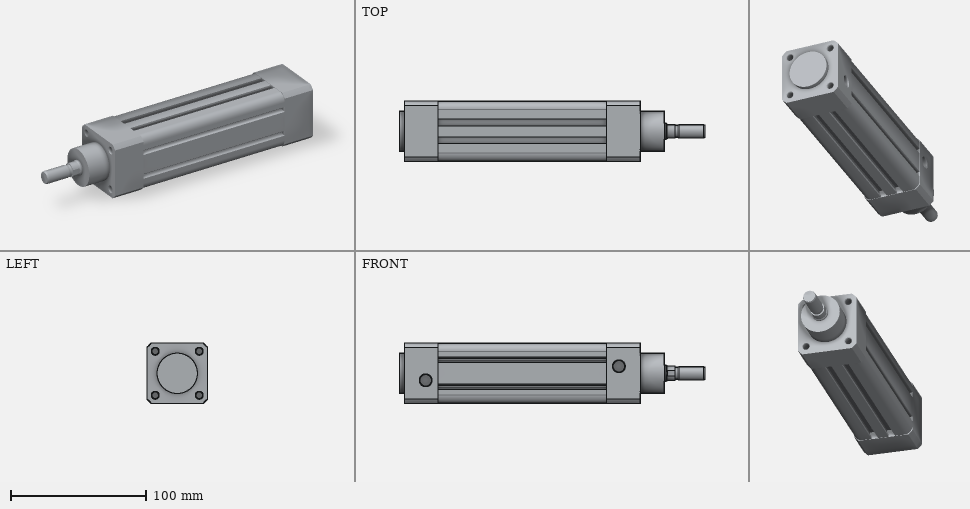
import cadquery as cq

total_length = 226.0
cover_side = 45.0
cover_length = 25.0
cover_corner_diameter = 59.0
collar_diameter = 29.8
rear_collar_length = 3.6
front_collar_length = 17.9
tube_length = 124.3

rear_cover_start = rear_collar_length
tube_start = rear_cover_start + cover_length
head_start = tube_start + tube_length
head_end = head_start + cover_length
rod_start = head_end + front_collar_length

screw_pitch = 32.5
screw_hole_diameter = 5.0
screw_hole_chamfer = 0.5
screw_hole_depth = 11.3
port_diameter = 8.5
port_chamfer = 0.5
port_depth = 11.3
port_height_offset = 5.2
port_setback = 9.3

tube_side = 44.5
tube_corner_radius = 6.0
t_slot_center = 6.5
t_slot_opening = 5.0
t_slot_lip = 1.5
t_slot_undercut = 1.1
t_slot_depth = 5.5
v_groove_center = 10.0
v_groove_opening = 4.0
v_groove_floor = 2.0
v_groove_depth = 4.3

rod_diameter = 12.0
rod_plain_length = 1.1
wrench_diameter = 10.8
wrench_cone_length = 1.0
wrench_end = 203.9
across_flats = 10.0
flat_start = 198.2
neck_diameter = 9.0
neck_end = 205.5
thread_diameter = 10.0
thread_start = 206.8
thread_chamfer_length = 1.4


def make_cover_block(start_x):
    """Square cover with turned corners, from start_x toward +X."""
    section = cq.Workplane("YZ", origin=(start_x, 0, 0))
    block = section.rect(cover_side, cover_side).extrude(cover_length)
    return block.intersect(section.circle(cover_corner_diameter / 2).extrude(cover_length))


def make_collar(start_x, length):
    return cq.Workplane("YZ", origin=(start_x, 0, 0)).circle(collar_diameter / 2).extrude(length)


def make_hole_cutter(mouth, direction, diameter, depth, chamfer):
    """Blind hole with a 45 degree chamfered mouth, running from mouth along direction."""
    radius = diameter / 2
    hole = cq.Solid.makeCylinder(radius, depth, mouth, direction)
    return hole.fuse(cq.Solid.makeCone(radius + chamfer, radius, chamfer, mouth, direction))


def cut_screw_holes(cover, face_x, inward):
    """Cut the four screw holes in the outer face at face_x; inward is +1 or -1 along X."""
    direction = cq.Vector(inward, 0, 0)
    for side_y in (-1, 1):
        for side_z in (-1, 1):
            mouth = cq.Vector(face_x, side_y * screw_pitch / 2, side_z * screw_pitch / 2)
            hole = make_hole_cutter(mouth, direction, screw_hole_diameter, screw_hole_depth, screw_hole_chamfer)
            cover = cover.cut(cq.Workplane(hole))
    return cover


def cut_port(cover, x, z):
    """Cut the air port in the -Y side of a cover."""
    mouth = cq.Vector(x, -cover_side / 2, z)
    direction = cq.Vector(0, 1, 0)
    hole = make_hole_cutter(mouth, direction, port_diameter, port_depth, port_chamfer)
    return cover.cut(cq.Workplane(hole))


def make_rear_cover():
    cover = make_cover_block(rear_cover_start).union(make_collar(0, rear_collar_length))
    cover = cut_screw_holes(cover, rear_cover_start, 1)
    return cut_port(cover, tube_start - port_setback, -port_height_offset)


def make_head():
    head = make_cover_block(head_start).union(make_collar(head_end, front_collar_length))
    head = cut_screw_holes(head, head_end, -1)
    return cut_port(head, head_start + port_setback, port_height_offset)


def make_t_slot(center_y):
    """T-slot cutter, open on the +Z side of the tube."""
    top = tube_side / 2
    half_opening = t_slot_opening / 2
    half_undercut = half_opening + t_slot_undercut
    outline = [
        (center_y - half_opening, top),
        (center_y - half_opening, top - t_slot_lip),
        (center_y - half_undercut, top - t_slot_lip),
        (center_y - half_undercut, top - t_slot_depth),
        (center_y + half_undercut, top - t_slot_depth),
        (center_y + half_undercut, top - t_slot_lip),
        (center_y + half_opening, top - t_slot_lip),
        (center_y + half_opening, top),
    ]
    return cq.Workplane("YZ", origin=(tube_start, 0, 0)).polyline(outline).close().extrude(tube_length)


def make_v_groove(center_z):
    """Tapered groove cutter, open on the -Y side of the tube."""
    side = -tube_side / 2
    outline = [
        (side, center_z - v_groove_opening / 2),
        (side, center_z + v_groove_opening / 2),
        (side + v_groove_depth, center_z + v_groove_floor / 2),
        (side + v_groove_depth, center_z - v_groove_floor / 2),
    ]
    return cq.Workplane("YZ", origin=(tube_start, 0, 0)).polyline(outline).close().extrude(tube_length)


def make_tube():
    """Extruded tube; opposite sides carry the same grooves."""
    tube = cq.Workplane("YZ", origin=(tube_start, 0, 0)).rect(tube_side, tube_side).extrude(tube_length)
    tube = tube.edges("|X").fillet(tube_corner_radius)
    for mirror_side in (-1, 1):
        t_slot = make_t_slot(mirror_side * t_slot_center)
        v_groove = make_v_groove(mirror_side * v_groove_center)
        tube = tube.cut(t_slot).cut(t_slot.mirror("XY"))
        tube = tube.cut(v_groove).cut(v_groove.mirror("XZ"))
    return tube


def make_flat_cutter():
    """Material removed for the -Y wrench flat, with a 45 degree ramp at its start."""
    flat_y = -across_flats / 2
    clear_y = -rod_diameter
    ramp = flat_y - clear_y
    outline = [
        (flat_start, flat_y),
        (wrench_end, flat_y),
        (wrench_end, clear_y),
        (flat_start - ramp, clear_y),
    ]
    return cq.Workplane("XY").polyline(outline).close().extrude(rod_diameter / 2, both=True)


def make_rod():
    """Turned rod with two wrench flats, a neck and a plain threaded-end cylinder."""
    cone_start = rod_start + rod_plain_length
    half_profile = [
        (rod_start, 0),
        (rod_start, rod_diameter / 2),
        (cone_start, rod_diameter / 2),
        (cone_start + wrench_cone_length, wrench_diameter / 2),
        (wrench_end, wrench_diameter / 2),
        (wrench_end, neck_diameter / 2),
        (neck_end, neck_diameter / 2),
        (thread_start, thread_diameter / 2),
        (total_length - thread_chamfer_length, thread_diameter / 2),
        (total_length, neck_diameter / 2),
        (total_length, 0),
    ]
    rod = cq.Workplane("XY").polyline(half_profile).close().revolve(360, (0, 0, 0), (1, 0, 0))
    flat_cutter = make_flat_cutter()
    return rod.cut(flat_cutter).cut(flat_cutter.mirror("XZ"))


rear_cover = make_rear_cover()
tube = make_tube()
head = make_head()
rod = make_rod()

result = cq.Compound.makeCompound([rear_cover.val(), tube.val(), head.val(), rod.val()])